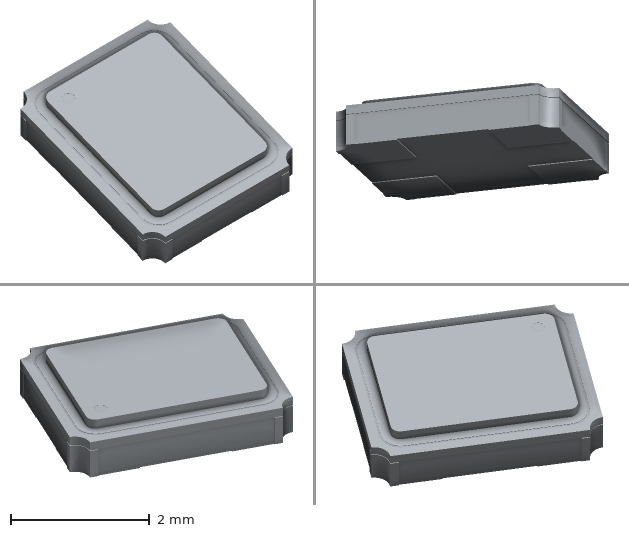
import cadquery as cq

length = 3.4
width = 2.7
height = 0.75

pad_thickness = 0.015
frame_bottom = 0.462
frame_top = 0.6
metal_gap = 0.015

wall_recess = 0.015
notch_radius = 0.23
corner_metal_reach = 0.36

pad_length = 0.985
pad_width = 0.887

groove_inset = 0.15
groove_width = 0.03
groove_depth = 0.007
groove_corner_radius = 0.323

lid_length = 2.747
lid_width = 2.055
lid_corner_radius = 0.135
mark_diameter = 0.2
mark_depth = 0.005
mark_x = -1.11
mark_y = -0.758


def block(size_x, size_y, bottom, top):
    """Box centred on the Z axis between two heights."""
    return (
        cq.Workplane("XY")
        .workplane(offset=bottom)
        .rect(size_x, size_y)
        .extrude(top - bottom)
    )


def rounded_block(size_x, size_y, radius, bottom, top):
    """Centred box with rounded vertical edges."""
    return block(size_x, size_y, bottom, top).edges("|Z").fillet(radius)


def corner_blocks(outer_x, outer_y, size_x, size_y, bottom, top):
    """Four boxes, one flush with each corner of a centred outer rectangle."""
    centers = [
        (sx * (outer_x - size_x) / 2, sy * (outer_y - size_y) / 2)
        for sx in (-1, 1)
        for sy in (-1, 1)
    ]
    return (
        cq.Workplane("XY")
        .workplane(offset=bottom)
        .pushPoints(centers)
        .rect(size_x, size_y)
        .extrude(top - bottom)
    )


def corner_notches(radius):
    """Round cutters on the four vertical corners of the outline."""
    return (
        cq.Workplane("XY")
        .rect(length, width, forConstruction=True)
        .vertices()
        .circle(radius)
        .extrude(height)
    )


wall_length = length - 2 * wall_recess
wall_width = width - 2 * wall_recess
body = block(wall_length, wall_width, pad_thickness, frame_bottom)
pads = corner_blocks(wall_length, wall_width, pad_length, pad_width, 0, pad_thickness)
core = body.union(pads).cut(corner_notches(notch_radius + wall_recess))

frame = block(length, width, frame_bottom, frame_top)
corner_metal = corner_blocks(
    length, width, corner_metal_reach, corner_metal_reach, 0, frame_bottom - metal_gap
)
shell = frame.union(corner_metal).cut(corner_notches(notch_radius))
base = core.union(shell)

groove_floor = frame_top - groove_depth
groove_length = length - 2 * groove_inset
groove_span = width - 2 * groove_inset
groove = rounded_block(
    groove_length, groove_span, groove_corner_radius, groove_floor, frame_top
).cut(
    rounded_block(
        groove_length - 2 * groove_width,
        groove_span - 2 * groove_width,
        groove_corner_radius - groove_width,
        groove_floor,
        frame_top,
    )
)
base = base.cut(groove)

lid = rounded_block(lid_length, lid_width, lid_corner_radius, frame_top, height)

mark = (
    cq.Workplane("XY")
    .workplane(offset=height - mark_depth)
    .center(mark_x, mark_y)
    .circle(mark_diameter / 2)
    .extrude(mark_depth)
)

result = base.union(lid).cut(mark)